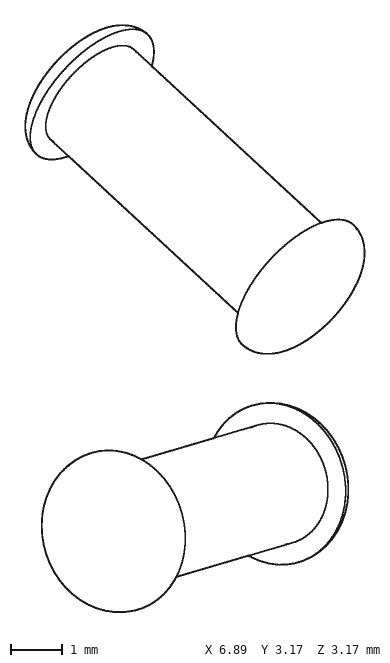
import cadquery as cq

overall_length = 6.89
head_diameter = 3.17
head_thickness = 0.4
shank_diameter = 2.38

head_radius = head_diameter / 2
flat_radius = head_radius - head_thickness
half_length = overall_length / 2
head_inner_x = half_length - head_thickness
arc_offset = head_thickness * 0.5 ** 0.5


def half_profile():
    """Upper half of the lengthwise section, closed along the pin axis."""
    return (
        cq.Workplane("XY")
        .moveTo(-half_length, 0)
        .lineTo(-half_length, flat_radius)
        .threePointArc(
            (-head_inner_x - arc_offset, flat_radius + arc_offset),
            (-head_inner_x, head_radius),
        )
        .lineTo(-head_inner_x, shank_diameter / 2)
        .lineTo(head_inner_x, shank_diameter / 2)
        .lineTo(head_inner_x, head_radius)
        .threePointArc(
            (head_inner_x + arc_offset, flat_radius + arc_offset),
            (half_length, flat_radius),
        )
        .lineTo(half_length, 0)
        .close()
    )


result = half_profile().revolve(360, (0, 0, 0), (1, 0, 0))